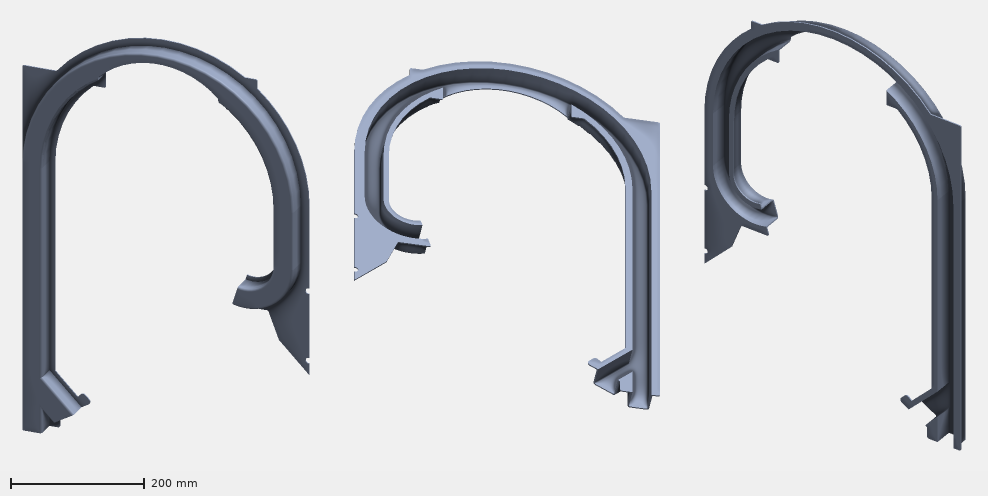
import cadquery as cq
import math


WIDTH = 467.0
HEIGHT = 672.0
DEPTH = 32.0
SHEET = 2.0
BEND_RADIUS = 4.0

FLANGE_OUTER = WIDTH / 2
WALL_OUTER = 221.0
WALL_INNER = 188.0
CHANNEL_SHIFT = -1.5
FLANGE_INNER = 181.0
LEG_BOTTOM = FLANGE_OUTER - HEIGHT
LEG_FOOT_X = -173.0
HOOK_X = 143.0
HOOK_Z = -95.0
HOOK_FLANGE_BOTTOM = -183.5
HOOK_END_ANGLE = 17.0
END_OVERRUN = 13.5
OVERRUN_ANGLE = 15.0

LEFT_TAB_TOP = 150.5
RIGHT_TAB_TOP = 195.0
RIGHT_TAB_X = 148.5
INNER_TAB_X = 98.0
INNER_TAB_BOTTOM = 137.0
OPENING_RADIUS = 141.0
OPENING_TOP = 207.0
OPENING_Z = OPENING_TOP - OPENING_RADIUS

WING_TIP_Z = -278.0
WING_KNEE_X = 184.0
WING_ROOT_X = 167.0
NOTCH_HEIGHTS = (-140.0, -255.0)
NOTCH_RADIUS = 5.0
NOTCH_DEPTH = 6.0

BRANCH_TOP_Z = -346.0
BRANCH_BOTTOM_Z = -399.0
BRANCH_REACH = 81.0
BRANCH_FLANGE_Z = -345.5
EAR_ROOT_X = -144.0
EAR_WIDTH = 9.0
EAR_LENGTH = 15.0
BRANCH_END_ANGLE = 30.0

TAB_CORNER = 2.0
FOOT_CORNER = 3.0
EAR_CORNER = 5.5
ARC_MID_INNER = 20.0
ARC_MID_OUTER = 25.0


def circle_point(radius, along):
    """Positive other coordinate of a point on an origin-centred circle."""
    return math.sqrt(radius**2 - along**2)


def arch_point(radius, angle):
    """Point on the arch; the angle is measured up from +X."""
    turn = math.radians(angle)
    return radius * math.cos(turn), radius * math.sin(turn)


def hook_point(radius, angle):
    """Point on the hook curl; the angle is measured from down toward -X."""
    turn = math.radians(angle)
    return HOOK_X - radius * math.sin(turn), HOOK_Z - radius * math.cos(turn)


def hook_radius(arch_radius):
    """Curl radius that continues the side at the given arch radius."""
    return arch_radius - HOOK_X


left_tab_corner = (-FLANGE_OUTER, LEFT_TAB_TOP)
right_tab_corner = (RIGHT_TAB_X, RIGHT_TAB_TOP)
wing_tip = (FLANGE_OUTER, WING_TIP_Z)
wing_knee = (WING_KNEE_X, WING_TIP_Z + FLANGE_OUTER - WING_KNEE_X)
wing_root = (WING_ROOT_X, HOOK_FLANGE_BOTTOM)
hook_outer_end = (
    HOOK_X + (HOOK_FLANGE_BOTTOM - HOOK_Z) * math.tan(math.radians(HOOK_END_ANGLE)),
    HOOK_FLANGE_BOTTOM,
)
hook_inner_end = hook_point(hook_radius(FLANGE_INNER), HOOK_END_ANGLE)
inner_tab_right = (INNER_TAB_X, INNER_TAB_BOTTOM)
inner_tab_left = (-INNER_TAB_X, INNER_TAB_BOTTOM)
ear_root = (EAR_ROOT_X, BRANCH_FLANGE_Z - (EAR_ROOT_X + FLANGE_INNER))
ear_top = (ear_root[0] + EAR_WIDTH, ear_root[1] + EAR_WIDTH)
ear_tip = (ear_top[0] + EAR_LENGTH, ear_top[1] - EAR_LENGTH)
branch_heel = (
    LEG_FOOT_X,
    ear_tip[1] - (ear_tip[0] - LEG_FOOT_X) * math.tan(math.radians(BRANCH_END_ANGLE)),
)
foot_left = (-FLANGE_OUTER, LEG_BOTTOM)
foot_right = (LEG_FOOT_X, LEG_BOTTOM)


def round_corners(body, corners, radius):
    """Round the edges along Y that stand at the given (X, Z) corners."""
    for x, z in corners:
        nearest = cq.selectors.NearestToPointSelector((x, -DEPTH / 2, z))
        body = body.edges("|Y").edges(nearest).fillet(radius)
    return body


def make_silhouette():
    """Full-depth prism of the flange outline, which trims everything else."""
    opening_side_z = OPENING_Z + circle_point(OPENING_RADIUS, INNER_TAB_X)
    inner_tab_root = circle_point(FLANGE_INNER, INNER_TAB_BOTTOM)
    inner_mid = arch_point(FLANGE_INNER, ARC_MID_INNER)
    right_mid = arch_point(FLANGE_OUTER, ARC_MID_OUTER)
    hook_inner = hook_radius(FLANGE_INNER)
    body = (
        cq.Workplane("XZ")
        .moveTo(*foot_left)
        .lineTo(*left_tab_corner)
        .lineTo(-circle_point(FLANGE_OUTER, LEFT_TAB_TOP), LEFT_TAB_TOP)
        .threePointArc((0, FLANGE_OUTER), (circle_point(FLANGE_OUTER, RIGHT_TAB_TOP), RIGHT_TAB_TOP))
        .lineTo(*right_tab_corner)
        .lineTo(RIGHT_TAB_X, circle_point(FLANGE_OUTER, RIGHT_TAB_X))
        .threePointArc(right_mid, (FLANGE_OUTER, 0))
        .lineTo(*wing_tip)
        .lineTo(*wing_knee)
        .lineTo(*wing_root)
        .lineTo(*hook_outer_end)
        .lineTo(*hook_inner_end)
        .threePointArc(hook_point(hook_inner, -45), (FLANGE_INNER, HOOK_Z))
        .lineTo(FLANGE_INNER, 0)
        .threePointArc(inner_mid, (inner_tab_root, INNER_TAB_BOTTOM))
        .lineTo(*inner_tab_right)
        .lineTo(INNER_TAB_X, opening_side_z)
        .threePointArc((0, OPENING_TOP), (-INNER_TAB_X, opening_side_z))
        .lineTo(*inner_tab_left)
        .lineTo(-inner_tab_root, INNER_TAB_BOTTOM)
        .threePointArc((-inner_mid[0], inner_mid[1]), (-FLANGE_INNER, 0))
        .lineTo(-FLANGE_INNER, BRANCH_FLANGE_Z)
        .lineTo(*ear_root)
        .lineTo(*ear_top)
        .lineTo(*ear_tip)
        .lineTo(*branch_heel)
        .lineTo(*foot_right)
        .close()
        .extrude(DEPTH)
    )
    tab_corners = (left_tab_corner, right_tab_corner, inner_tab_left, inner_tab_right)
    body = round_corners(body, tab_corners + (wing_root, hook_outer_end), TAB_CORNER)
    body = round_corners(body, (foot_left, foot_right), FOOT_CORNER)
    return round_corners(body, (ear_top, ear_tip), EAR_CORNER)


def make_channel(inset, bend_radius):
    """Solid bulge of the channel and its branch, shrunk inward by the inset."""
    outer = WALL_OUTER - inset
    inner = WALL_INNER + inset
    height = DEPTH - inset
    hook_angle = HOOK_END_ANGLE + OVERRUN_ANGLE
    leg_end = LEG_BOTTOM - END_OVERRUN
    band = (
        cq.Workplane("XZ")
        .moveTo(-outer, leg_end)
        .lineTo(-outer, 0)
        .threePointArc((0, outer), (outer, 0))
        .lineTo(outer, HOOK_Z)
        .threePointArc(hook_point(hook_radius(outer), 0), hook_point(hook_radius(outer), hook_angle))
        .lineTo(*hook_point(hook_radius(inner), hook_angle))
        .threePointArc(hook_point(hook_radius(inner), 0), (inner, HOOK_Z))
        .lineTo(inner, 0)
        .threePointArc((0, inner), (-inner, 0))
        .lineTo(-inner, leg_end)
        .close()
        .extrude(height)
    )
    shift = inset * math.sqrt(2)
    root_x = -(WALL_OUTER + WALL_INNER) / 2
    root_rise = -WALL_INNER - root_x
    top_z = BRANCH_TOP_Z + root_rise - shift
    bottom_z = BRANCH_BOTTOM_Z + root_rise + shift
    end_x = root_x + BRANCH_REACH
    branch = (
        cq.Workplane("XZ")
        .polyline([
            (root_x, top_z),
            (end_x, top_z - BRANCH_REACH),
            (end_x, bottom_z - BRANCH_REACH),
            (root_x, bottom_z),
        ])
        .close()
        .extrude(height)
    )
    bulge_body = band.union(branch).faces("<Y").edges().fillet(bend_radius)
    return bulge_body.translate((CHANNEL_SHIFT, 0, 0))


def make_notches():
    """Round-bottomed notches in the straight outer edge of the wing."""
    length = 2 * NOTCH_DEPTH
    return (
        cq.Workplane("XZ")
        .pushPoints([(FLANGE_OUTER, z) for z in NOTCH_HEIGHTS])
        .slot2D(length, 2 * NOTCH_RADIUS)
        .extrude(DEPTH)
    )


flange_slab = cq.Workplane("XZ").rect(2 * HEIGHT, 2 * HEIGHT).extrude(SHEET)
bulge = make_channel(0, BEND_RADIUS)
cavity = make_channel(SHEET, BEND_RADIUS - SHEET)
silhouette = make_silhouette()

flange = silhouette.intersect(flange_slab)
result = flange.union(silhouette.intersect(bulge)).cut(cavity).cut(make_notches())